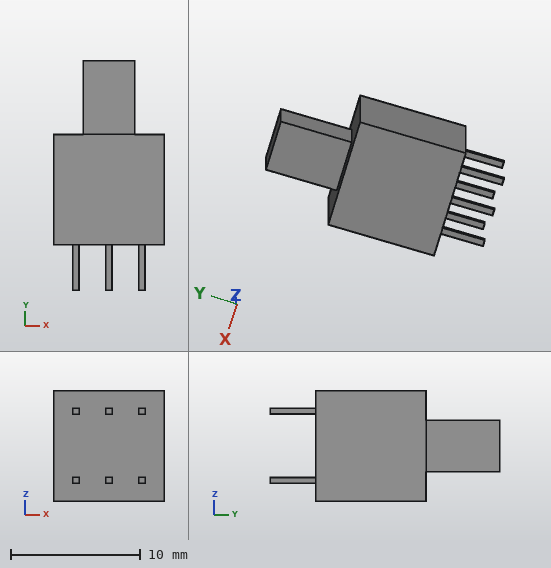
import cadquery as cq

body_side = 8.51

pin_width = 0.5
pin_height = 0.45
pin_length = 3.5
pin_columns = 3
pin_rows = 2
pin_pitch = 2.54
row_spacing = 5.33

pattern_offset_x = -0.01
pattern_offset_z = 0.02

overall_length = 17.7
plunger_side = 4.0
plunger_length = overall_length - body_side - pin_length


def bar(width, height, y_start, length, x=0, z=0):
    """Rectangular bar along +Y, its cross-section centred on (x, z)."""
    return (
        cq.Workplane("XY")
        .box(width, length, height, centered=(True, False, True))
        .translate((x, y_start, z))
    )


def centred_positions(count, spacing, centre):
    """Evenly spaced positions, symmetric about the centre."""
    return [centre + (i - (count - 1) / 2) * spacing for i in range(count)]


def add_pins(part):
    """Add the grid of pins pointing along -Y."""
    for x in centred_positions(pin_columns, pin_pitch, pattern_offset_x):
        for z in centred_positions(pin_rows, row_spacing, pattern_offset_z):
            part = part.union(bar(pin_width, pin_height, -pin_length, pin_length, x, z))
    return part


body = bar(body_side, body_side, 0, body_side)
plunger = bar(plunger_side, plunger_side, body_side, plunger_length)
result = add_pins(body.union(plunger))